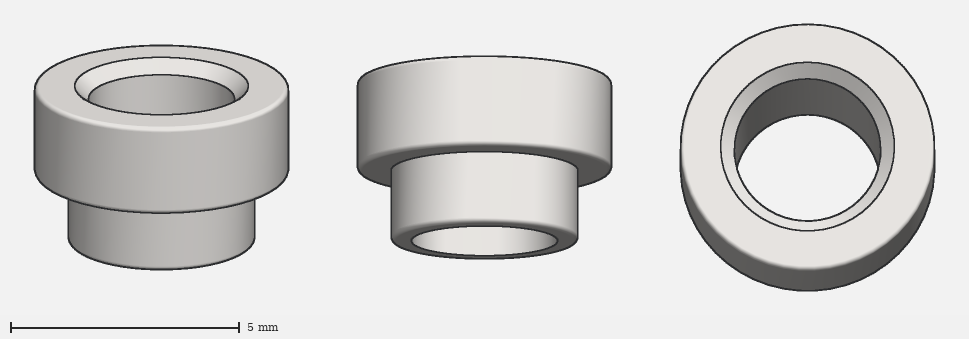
import cadquery as cq

head_diameter = 5.56
head_height = 2.0
shank_diameter = 4.09
total_height = 3.57
bore_diameter = 3.2
lead_in = 0.3
edge_radius = 0.1

shank_height = total_height - head_height


def rounded_disc(diameter, height, base_z, edges):
    """Cylinder standing on base_z with the selected circular edges rounded."""
    disc = cq.Workplane("XY").workplane(offset=base_z).circle(diameter / 2).extrude(height)
    return disc.edges(edges).fillet(edge_radius)


def chamfered_bore():
    """Through bore widening to a conical lead-in at the head face."""
    bore_radius = bore_diameter / 2
    bore = cq.Workplane("XY").circle(bore_radius).extrude(total_height)
    cone = cq.Solid.makeCone(
        bore_radius,
        bore_radius + lead_in,
        lead_in,
        pnt=cq.Vector(0, 0, total_height - lead_in),
    )
    return bore.union(cq.Workplane(cone))


head = rounded_disc(head_diameter, head_height, shank_height, "%CIRCLE")
shank = rounded_disc(shank_diameter, shank_height, 0, "<Z")

result = head.union(shank).cut(chamfered_bore())